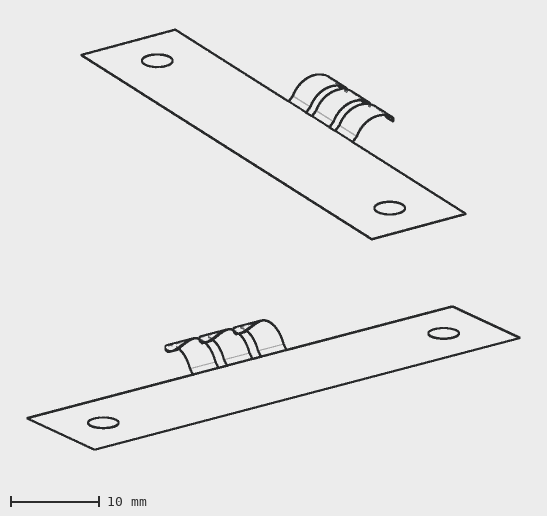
import cadquery as cq
import math

plate_length = 60.0
plate_depth = 12.65
sheet = 0.1
hole_diameter = 3.5
hole_end_distance = 6.0

overall_depth = 18.95
overall_height = 2.5
finger_count = 3
finger_width = 3.6
finger_gap = 1.2
finger_pitch = finger_width + finger_gap
tip_rounding_depth = 1.45

leg_run = 0.55
leg_angle = math.radians(45)
arch_start_y = plate_depth + leg_run
arch_start_z = sheet + leg_run * math.tan(leg_angle)
crest_y = (arch_start_y + overall_depth) / 2
half_span = overall_depth - crest_y
rise = overall_height - arch_start_z
arch_radius = (half_span**2 + rise**2) / (2 * rise)
arch_center_z = overall_height - arch_radius
arch_half_angle = math.asin(half_span / arch_radius)


def make_plate():
    hole_x = plate_length / 2 - hole_end_distance
    return (
        cq.Workplane("XY")
        .box(plate_length, plate_depth, sheet, centered=(True, False, False))
        .faces(">Z")
        .workplane(origin=(0, plate_depth / 2, sheet))
        .pushPoints([(-hole_x, 0), (hole_x, 0)])
        .hole(hole_diameter)
    )


def arch_point(radius, angle):
    """Point (Y, Z) on the arch; the angle is measured from the crest toward +Y."""
    return (crest_y + radius * math.sin(angle), arch_center_z + radius * math.cos(angle))


def make_finger(x):
    inner_radius = arch_radius - sheet
    underside_bend_y = plate_depth + sheet * math.tan(leg_angle / 2)
    strip = (
        cq.Workplane("YZ", origin=(x - finger_width / 2, 0, 0))
        .moveTo(plate_depth, 0)
        .lineTo(plate_depth, sheet)
        .lineTo(arch_start_y, arch_start_z)
        .threePointArc(arch_point(arch_radius, 0), arch_point(arch_radius, arch_half_angle))
        .lineTo(*arch_point(inner_radius, arch_half_angle))
        .threePointArc(arch_point(inner_radius, 0), arch_point(inner_radius, -arch_half_angle))
        .lineTo(underside_bend_y, 0)
        .close()
        .extrude(finger_width)
    )
    straight_end_y = overall_depth - tip_rounding_depth
    straight = (
        cq.Workplane("XY", origin=(x, plate_depth, 0))
        .box(finger_width, straight_end_y - plate_depth, overall_height, centered=(True, False, False))
    )
    tip = (
        cq.Workplane("XY", origin=(x, straight_end_y, 0))
        .ellipse(finger_width / 2, tip_rounding_depth)
        .extrude(overall_height)
    )
    return strip.intersect(straight.union(tip))


result = make_plate()
for index in range(finger_count):
    finger_x = (index - (finger_count - 1) / 2) * finger_pitch
    result = result.union(make_finger(finger_x))